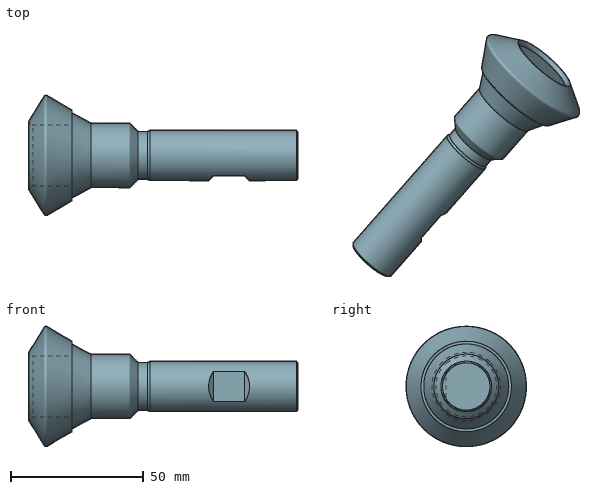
import cadquery as cq
import math

length = 101.7
floor_x = 1.7
rim_x = 6.3
joint_x = 16.5
cone_end_x = 23.6
collar_end_x = 38.2
neck_start_x = 41.4
neck_end_x = 44.9
shank_start_x = 45.8

rim_radius = 23.1
front_radius = 12.9
head_back_radius = 17.1
bore_radius = 11.5
cone_start_radius = 16.1
collar_radius = 12.2
neck_radius = 9.1
shank_radius = 9.6

rim_round = 0.9
lip_round = front_radius - bore_radius
collar_round = 0.4
end_chamfer = 0.6

flat_start_x = 69.9
flat_end_x = 81.6
flat_width = 11.4
flat_y = -math.sqrt(shank_radius**2 - (flat_width / 2) ** 2)
cutter_clearance = 1.0


def revolve_about_x(outline):
    """Revolve a closed (x, radius) outline into a solid about X."""
    return outline.close().revolve(360, (0, 0, 0), (1, 0, 0))


def edge_circle(x, radius):
    """Select the circular edges of one radius centred at one X station."""
    margin = 0.05
    reach = radius + margin
    return cq.selectors.BoxSelector(
        (x - margin, -reach, -reach), (x + margin, reach, reach), boundingbox=True
    )


def make_head():
    """Double-cone ring with a through bore and rounded rim and lip."""
    arc_middle = lip_round * (1 - math.sqrt(0.5))
    outline = (
        cq.Workplane("XY")
        .moveTo(0, front_radius)
        .lineTo(rim_x, rim_radius)
        .lineTo(joint_x, head_back_radius)
        .lineTo(joint_x, bore_radius)
        .lineTo(lip_round, bore_radius)
        .threePointArc((arc_middle, bore_radius + arc_middle), (0, front_radius))
    )
    ring = revolve_about_x(outline)
    return ring.edges(edge_circle(rim_x, rim_radius)).fillet(rim_round)


def make_flat_cutter():
    """Trapezoidal prism that cuts the clamping flat and its ramps."""
    outside_y = -shank_radius - cutter_clearance
    ramp = flat_y - outside_y
    outline = [
        (flat_start_x, flat_y),
        (flat_end_x, flat_y),
        (flat_end_x + ramp, outside_y),
        (flat_start_x - ramp, outside_y),
    ]
    return cq.Workplane("XY").polyline(outline).close().extrude(shank_radius, both=True)


def make_shank():
    """Stepped shank whose front spigot fills the head bore."""
    outline = cq.Workplane("XY").polyline([
        (floor_x, 0),
        (floor_x, bore_radius),
        (joint_x, bore_radius),
        (joint_x, cone_start_radius),
        (cone_end_x, collar_radius),
        (collar_end_x, collar_radius),
        (neck_start_x, neck_radius),
        (neck_end_x, neck_radius),
        (shank_start_x, shank_radius),
        (length, shank_radius),
        (length, 0),
    ])
    body = revolve_about_x(outline)
    body = body.edges(edge_circle(collar_end_x, collar_radius)).fillet(collar_round)
    body = body.faces(">X").edges().chamfer(end_chamfer)
    return body.cut(make_flat_cutter())


head = make_head()
shank = make_shank()

result = cq.Compound.makeCompound([head.val(), shank.val()])